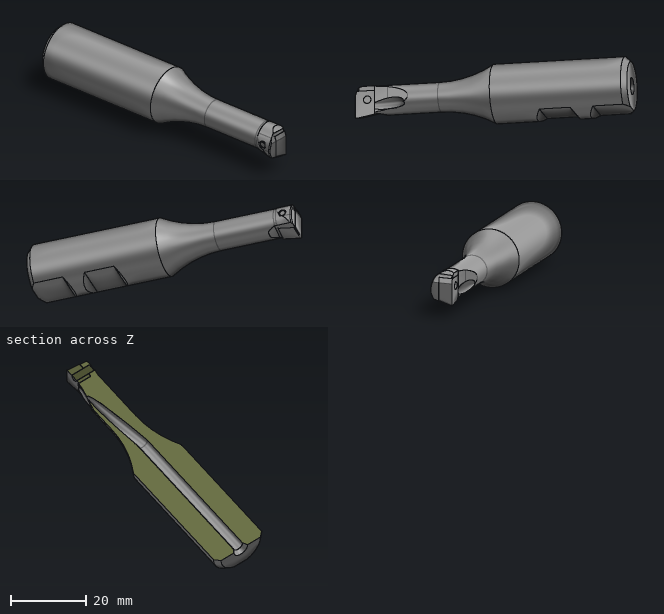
import cadquery as cq
import math

tool_length = 75.0

shank_radius = 7.99
shank_length = 37.1
shank_chamfer = 1.4
neck_radius = 4.0
transition_radius = 30.0
neck_end = 69.0
radius_drop = shank_radius - neck_radius
transition_length = math.sqrt(2 * transition_radius * radius_drop - radius_drop**2)
transition_end = shank_length + transition_length

flat_height = -6.2
flat_ramp_run = 1.5
end_flat_stop = 9.6
middle_flat_start = 15.8
middle_flat_stop = 24.15

bore_radius = 1.5
bore_length = 43.5
bore_mouth_radius = 2.25
bore_mouth_angle = 60.0
channel_angle = 8.0
channel_roll = 30.0

head_start = 69.7
collar_rise = 0.15
flare_angle = 13.0
head_chamfer_start = 73.95
head_chamfer_angle = 30.0
crown_radius = 4.1
crown_edge_y = -3.26
side_y = -4.5
side_z = -1.1
belly_radius = 4.05
belly_y = side_y + belly_radius

gullet_start = 60.2
gullet_arc_start = 66.0
gullet_slope = 14.0
gullet_depth_y = 1.95

top_face_y = 1.8
insert_thickness = 3.8
insert_floor_y = top_face_y - insert_thickness
insert_top_z = 2.5
corner_z = -5.0
corner_radius = 0.4
end_edge_top_z = 1.1
end_relief_angle = 6.0
holder_setback = 0.1
underside_relief_angle = 15.0
underside_slope = 10.0
runout_start = (66.8, -4.5)
side_edge_top = (74.3, 3.2)
facet_start = (72.5, crown_radius)

screw_x = 71.7
screw_radius = 1.01
screw_chamfer = 0.2
screw_tip_y = -4.1

margin = 15.0


def prism_along_y(points, y_low, y_high):
    """Extrude an XZ outline from y_low to y_high."""
    outline = cq.Workplane("XZ", origin=(0, y_high, 0)).polyline(points).close()
    return outline.extrude(y_high - y_low)


def turned_body():
    """Chamfered shank, concave transition, neck and the small collar before the head."""
    half_turn = math.asin(transition_length / transition_radius) / 2
    arc_middle = (
        transition_end - transition_radius * math.sin(half_turn),
        neck_radius + transition_radius * (1 - math.cos(half_turn)),
    )
    return (
        cq.Workplane("XY")
        .moveTo(0, 0)
        .lineTo(0, shank_radius - shank_chamfer)
        .lineTo(shank_chamfer, shank_radius)
        .lineTo(shank_length, shank_radius)
        .threePointArc(arc_middle, (transition_end, neck_radius))
        .lineTo(neck_end, neck_radius)
        .lineTo(head_start, neck_radius + collar_rise)
        .lineTo(head_start, 0)
        .close()
        .revolve(360, (0, 0, 0), (1, 0, 0))
    )


def shank_flats():
    """Two flats across the underside of the shank, with sloping ends."""
    low = -shank_radius
    end_flat = [
        (-margin, flat_height),
        (end_flat_stop, flat_height),
        (end_flat_stop + flat_ramp_run, low),
        (-margin, low),
    ]
    middle_flat = [
        (middle_flat_start, flat_height),
        (middle_flat_stop, flat_height),
        (middle_flat_stop + flat_ramp_run, low),
        (middle_flat_start - flat_ramp_run, low),
    ]
    cutters = prism_along_y(end_flat, -margin, margin)
    return cutters.union(prism_along_y(middle_flat, -margin, margin))


def coolant_bore():
    """Axial bore with a countersunk mouth."""
    rise = bore_mouth_radius - bore_radius
    mouth_depth = rise / math.tan(math.radians(bore_mouth_angle / 2))
    return (
        cq.Workplane("XY")
        .polyline(
            [
                (0, 0),
                (0, bore_mouth_radius),
                (mouth_depth, bore_radius),
                (bore_length, bore_radius),
                (bore_length, 0),
            ]
        )
        .close()
        .revolve(360, (0, 0, 0), (1, 0, 0))
    )


def coolant_channel():
    """Channel from the end of the bore out through the gullet, with a ball-shaped elbow."""
    elbow = cq.Workplane("XY", origin=(bore_length, 0, 0)).sphere(bore_radius)
    channel = (
        cq.Workplane("YZ", origin=(bore_length, 0, 0))
        .circle(bore_radius)
        .extrude(tool_length)
        .rotate((bore_length, 0, 0), (bore_length, 0, 1), channel_angle)
        .rotate((0, 0, 0), (1, 0, 0), -channel_roll)
    )
    return channel.union(elbow)


def head_outline(x):
    """Head section in the YZ plane: crown, flatter side and belly arcs, closed at the top face."""
    crown_edge_z = math.sqrt(crown_radius**2 - crown_edge_y**2)
    crown_end_z = math.sqrt(crown_radius**2 - top_face_y**2)
    belly_end_y = top_face_y - belly_y
    belly_end_z = side_z - math.sqrt(belly_radius**2 - belly_end_y**2)
    half = belly_radius * math.sqrt(0.5)
    return (
        cq.Workplane("YZ", origin=(x, 0, 0))
        .moveTo(top_face_y, crown_end_z)
        .threePointArc((0, crown_radius), (crown_edge_y, crown_edge_z))
        .tangentArcPoint((side_y, side_z), relative=False)
        .threePointArc((belly_y - half, side_z - half), (top_face_y, belly_end_z))
        .close()
    )


def head():
    """Head with a chamfered end, trimmed by a cone that flares out from the neck."""
    body = head_outline(neck_end).extrude(head_chamfer_start - neck_end)
    tip = head_outline(head_chamfer_start).extrude(
        tool_length - head_chamfer_start, taper=head_chamfer_angle
    )
    cone_start_radius = neck_radius + collar_rise
    cone_growth = (tool_length - head_start) * math.tan(math.radians(flare_angle))
    flare = (
        cq.Workplane("XY")
        .polyline(
            [
                (head_start, 0),
                (head_start, cone_start_radius),
                (tool_length, cone_start_radius + cone_growth),
                (tool_length, 0),
            ]
        )
        .close()
        .revolve(360, (0, 0, 0), (1, 0, 0))
    )
    return body.union(tip).intersect(flare)


def gullet():
    """Chip clearance: a ramp into the +Y side of the neck that levels out before the head."""
    drop = (gullet_arc_start - gullet_start) * math.tan(math.radians(gullet_slope))
    return (
        cq.Workplane("XY", origin=(0, 0, -margin))
        .moveTo(gullet_start, neck_radius)
        .lineTo(gullet_arc_start, neck_radius - drop)
        .tangentArcPoint((head_start, gullet_depth_y), relative=False)
        .lineTo(head_start, margin)
        .lineTo(gullet_start, margin)
        .close()
        .extrude(2 * margin)
    )


def underside_z(x):
    """Height of the lower cutting edge along the insert's top face."""
    return corner_z + (tool_length - x) * math.tan(math.radians(underside_slope))


def end_relief():
    """Relief behind the end edge and the receding edge above it."""
    outside = tool_length + margin
    outline = [
        (tool_length, -margin),
        (tool_length, end_edge_top_z),
        side_edge_top,
        (side_edge_top[0], margin),
        (outside, margin),
        (outside, -margin),
    ]
    edge = (tool_length, top_face_y, 0)
    edge_end = (tool_length, top_face_y, 1)
    return prism_along_y(outline, -margin, margin).rotate(edge, edge_end, -end_relief_angle)


def top_facet():
    """Sloping facet across the top of the head at its end."""
    run = tool_length - facet_start[0]
    slope = (facet_start[1] - side_edge_top[1]) / (side_edge_top[0] - facet_start[0])
    outline = [
        facet_start,
        (tool_length, facet_start[1] - run * slope),
        (tool_length, margin),
        (facet_start[0], margin),
    ]
    return prism_along_y(outline, -margin, margin)


def underside_relief():
    """Relief under the lower cutting edge, running out into the neck."""
    outside = tool_length + margin
    outline = [
        runout_start,
        (neck_end, underside_z(neck_end)),
        (outside, underside_z(outside)),
        (outside, -margin),
        (runout_start[0], -margin),
    ]
    edge = (0, top_face_y, underside_z(neck_end))
    edge_end = (1, top_face_y, underside_z(neck_end))
    return prism_along_y(outline, -margin, top_face_y + margin).rotate(
        edge, edge_end, -underside_relief_angle
    )


def insert_without_hole():
    """Insert seated in the +Y side of the head, before the screw hole is drilled."""
    outline = [
        (head_start, insert_top_z),
        (tool_length, insert_top_z),
        (tool_length, -shank_radius),
        (head_start, -shank_radius),
    ]
    blank = prism_along_y(outline, insert_floor_y, top_face_y)
    blank = blank.cut(end_relief()).cut(underside_relief())
    corner = cq.selectors.NearestToPointSelector((tool_length, 0, corner_z))
    return blank.edges(corner).fillet(corner_radius)


def screw_shape(tip_y):
    """Plain round shape along Y from tip_y to the insert's top face."""
    return (
        cq.Workplane("XZ", origin=(screw_x, top_face_y, 0))
        .circle(screw_radius)
        .extrude(top_face_y - tip_y)
    )


insert_blank = insert_without_hole()
screw_hole = screw_shape(-margin)

holder = turned_body().cut(coolant_channel()).union(head())
holder = holder.cut(gullet()).cut(top_facet()).cut(end_relief().translate((-holder_setback, 0, 0)))
holder = holder.cut(underside_relief())
holder = holder.cut(insert_blank).cut(screw_hole)
holder = holder.cut(shank_flats()).cut(coolant_bore())

insert = insert_blank.cut(screw_hole)

screw = screw_shape(screw_tip_y).faces("<Y").chamfer(screw_chamfer)

result = cq.Compound.makeCompound([holder.val(), insert.val(), screw.val()])